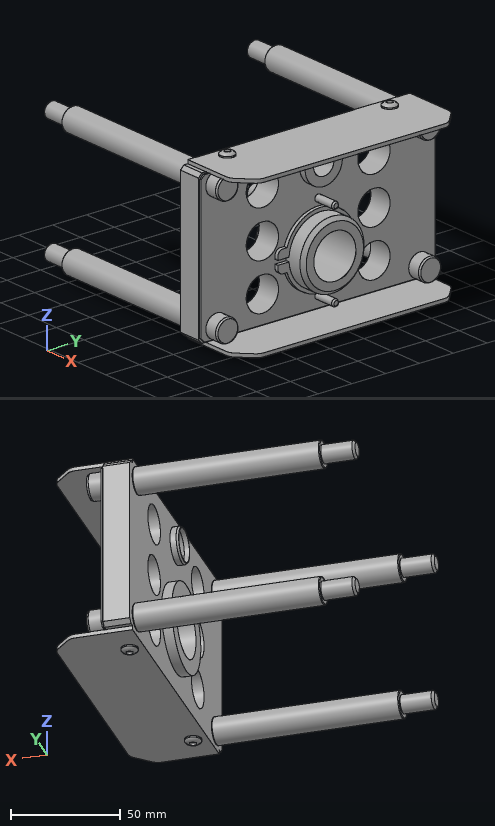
import cadquery as cq
import math


BEVEL_LENGTH = 1.0
BEVEL_WIDTH = 0.6

PLATE_THICKNESS = 13.0
PLATE_WIDTH = 140.0
PLATE_HEIGHT = 83.8
PLATE_CORNER = 2.0
SHEET_THICKNESS = 1.0
SHEET_MARGIN = 0.7
BACK = PLATE_THICKNESS + SHEET_THICKNESS

OPENING_DIAMETER = 19.0
OPENING_Y = 33.0
OPENING_PITCH = 26.0

POST_Y = 60.0
POST_Z = 35.0
POST_DIAMETER = 13.5
POST_LENGTH = 90.0
POST_EDGE = 0.5
STUD_DIAMETER = 9.0
STUD_LENGTH = 16.0
STUD_CHAMFER = 1.2
HEAD_DIAMETER = 13.0
HEAD_LENGTH = 8.0

BRACKET_WIDTH = 131.4
BRACKET_DEPTH = 40.0
BRACKET_THICKNESS = 2.0
BRACKET_CHAMFER = 10.0
BRACKET_ROUNDING = 6.0

SCREW_X = 7.0
SCREW_Y = 48.0
SCREW_DIAMETER = 8.0
SCREW_HEIGHT = 2.2
SCREW_RIM = 0.7
SOCKET_DIAMETER = 3.2
SOCKET_DEPTH = 1.2

BUSHING_Z = -12.0
FLANGE_DIAMETER = 44.0
FLANGE_THICKNESS = 5.0
BUSHING_DIAMETER = 38.0
BUSHING_REACH = 12.0
BUSHING_CHAMFER = 2.0
BORE_DIAMETER = 29.2
BORE_REAR_DIAMETER = 24.8
BORE_TAPER_LENGTH = 2.2
RING_DIAMETER = 42.0
RING_THICKNESS = 2.0
EAR_REACH = 25.5
EAR_SPAN = 12.3
EAR_ROUNDING = 3.0
EAR_GAP = 2.3

NOZZLE_Z = 30.8
NOZZLE_DIAMETER = 18.0
NOZZLE_FRONT_REACH = 4.0
NOZZLE_REAR_DIAMETER = 22.0
NOZZLE_REAR_REACH = 4.0
NOZZLE_BORE_DIAMETER = 12.0
RECESS_DIAMETER = 16.0
RECESS_DEPTH = 2.5
RECESS_TAPER_LENGTH = 2.6

PIN_DIAMETER = 4.0
PIN_REACH = 13.0
PIN_Z = (13.0, -34.9)


def rod(x_start, x_end, diameter, y=0.0, z=0.0):
    """Cylinder along X."""
    return (
        cq.Workplane("YZ", origin=(x_start, y, z))
        .circle(diameter / 2)
        .extrude(x_end - x_start)
    )


def frustum(x_start, start_diameter, x_end, end_diameter, y=0.0, z=0.0):
    """Cone section along X."""
    profile = [
        (x_start, 0),
        (x_start, start_diameter / 2),
        (x_end, end_diameter / 2),
        (x_end, 0),
    ]
    return (
        cq.Workplane("XY", origin=(0, y, z))
        .polyline(profile)
        .close()
        .revolve(360, (0, 0, 0), (1, 0, 0))
    )


def bevelled_rod(x_root, x_tip, diameter, y=0.0, z=0.0):
    """Cylinder along X with a bevel at its tip."""
    bevel_start = x_tip - math.copysign(BEVEL_LENGTH, x_tip - x_root)
    shank = rod(x_root, bevel_start, diameter, y, z)
    return shank.union(frustum(bevel_start, diameter, x_tip, diameter - 2 * BEVEL_WIDTH, y, z))


def make_plate():
    plate = (
        cq.Workplane("YZ")
        .rect(PLATE_WIDTH, PLATE_HEIGHT)
        .extrude(PLATE_THICKNESS)
        .edges("|X")
        .chamfer(PLATE_CORNER)
    )
    sheet = (
        cq.Workplane("YZ", origin=(PLATE_THICKNESS, 0, 0))
        .rect(PLATE_WIDTH - 2 * SHEET_MARGIN, PLATE_HEIGHT - 2 * SHEET_MARGIN)
        .extrude(SHEET_THICKNESS)
        .edges("|X")
        .chamfer(PLATE_CORNER)
    )
    openings = (
        cq.Workplane("YZ")
        .rarray(2 * OPENING_Y, OPENING_PITCH, 2, 3)
        .circle(OPENING_DIAMETER / 2)
        .extrude(BACK)
    )
    return plate.union(sheet).cut(openings)


def make_post(y, z):
    stud_tip = -POST_LENGTH - STUD_LENGTH
    post = rod(-POST_LENGTH, 0, POST_DIAMETER, y, z).faces("<X or >X").chamfer(POST_EDGE)
    stud = rod(stud_tip, -POST_LENGTH, STUD_DIAMETER, y, z).faces("<X").chamfer(STUD_CHAMFER)
    head = bevelled_rod(BACK, BACK + HEAD_LENGTH, HEAD_DIAMETER, y, z)
    return post.union(stud).union(head)


def make_screw_head(y):
    """Button head standing on the outer face of the top bracket."""
    base_z = PLATE_HEIGHT / 2 + BRACKET_THICKNESS
    rim_radius = SCREW_DIAMETER / 2
    socket_radius = SOCKET_DIAMETER / 2
    dome_width = rim_radius - socket_radius
    dome_rise = SCREW_HEIGHT - SCREW_RIM
    dome_radius = (dome_width**2 + dome_rise**2) / (2 * dome_rise)
    return (
        cq.Workplane("XZ", origin=(SCREW_X, y, base_z))
        .lineTo(rim_radius, 0)
        .lineTo(rim_radius, SCREW_RIM)
        .radiusArc((socket_radius, SCREW_HEIGHT), -dome_radius)
        .lineTo(socket_radius, SCREW_HEIGHT - SOCKET_DEPTH)
        .lineTo(0, SCREW_HEIGHT - SOCKET_DEPTH)
        .close()
        .revolve(360, (0, 0, 0), (0, 1, 0))
    )


def make_top_bracket():
    bracket = (
        cq.Workplane("XY", origin=(0, 0, PLATE_HEIGHT / 2))
        .rect(2 * BRACKET_DEPTH, BRACKET_WIDTH)
        .extrude(BRACKET_THICKNESS)
        .edges("|Z")
        .chamfer(BRACKET_CHAMFER)
        .edges("|Z")
        .fillet(BRACKET_ROUNDING)
    )
    front_half = cq.Workplane("XY").box(
        BRACKET_DEPTH, BRACKET_WIDTH, 2 * PLATE_HEIGHT, centered=(False, True, True)
    ).translate((-BRACKET_DEPTH, 0, 0))
    bracket = bracket.cut(front_half)
    for y in (-SCREW_Y, SCREW_Y):
        bracket = bracket.union(make_screw_head(y))
    return bracket


def make_retaining_ring():
    """Ring behind the sheet with two rounded ears on its -Y side, split by a gap."""
    ring = rod(BACK, BACK + RING_THICKNESS, RING_DIAMETER, z=BUSHING_Z)
    ears = (
        cq.Workplane("YZ", origin=(BACK, -EAR_REACH / 2, BUSHING_Z))
        .rect(EAR_REACH, EAR_SPAN)
        .extrude(RING_THICKNESS)
        .edges("|X and <Y")
        .fillet(EAR_ROUNDING)
    )
    gap = (
        cq.Workplane("YZ", origin=(BACK, -EAR_REACH / 2, BUSHING_Z))
        .rect(EAR_REACH, EAR_GAP)
        .extrude(RING_THICKNESS)
    )
    return ring.union(ears).cut(gap)


def add_bushing(body):
    rear = BACK + BUSHING_REACH
    flange = rod(-FLANGE_THICKNESS, 0, FLANGE_DIAMETER, z=BUSHING_Z)
    sleeve = rod(0, rear, BUSHING_DIAMETER, z=BUSHING_Z).faces(">X").chamfer(BUSHING_CHAMFER)
    taper_start = rear - BORE_TAPER_LENGTH
    bore = rod(-FLANGE_THICKNESS, taper_start, BORE_DIAMETER, z=BUSHING_Z)
    taper = frustum(taper_start, BORE_DIAMETER, rear, BORE_REAR_DIAMETER, z=BUSHING_Z)
    return body.union(flange).union(make_retaining_ring()).union(sleeve).cut(bore).cut(taper)


def add_nozzle(body):
    front = -NOZZLE_FRONT_REACH
    rear = BACK + NOZZLE_REAR_REACH
    recess_end = front + RECESS_DEPTH
    rim = bevelled_rod(0, front, NOZZLE_DIAMETER, z=NOZZLE_Z)
    collar = rod(BACK, rear, NOZZLE_REAR_DIAMETER, z=NOZZLE_Z)
    recess = rod(front, recess_end, RECESS_DIAMETER, z=NOZZLE_Z)
    taper_end = recess_end + RECESS_TAPER_LENGTH
    taper = frustum(recess_end, RECESS_DIAMETER, taper_end, NOZZLE_BORE_DIAMETER, z=NOZZLE_Z)
    bore = rod(front, rear, NOZZLE_BORE_DIAMETER, z=NOZZLE_Z)
    return body.union(rim).union(collar).cut(recess).cut(taper).cut(bore)


result = make_plate()
for post_y in (-POST_Y, POST_Y):
    for post_z in (-POST_Z, POST_Z):
        result = result.union(make_post(post_y, post_z))

top_bracket = make_top_bracket()
result = result.union(top_bracket).union(top_bracket.mirror("XY"))

result = add_bushing(result)
result = add_nozzle(result)

for pin_z in PIN_Z:
    result = result.union(bevelled_rod(BACK, BACK + PIN_REACH, PIN_DIAMETER, z=pin_z))